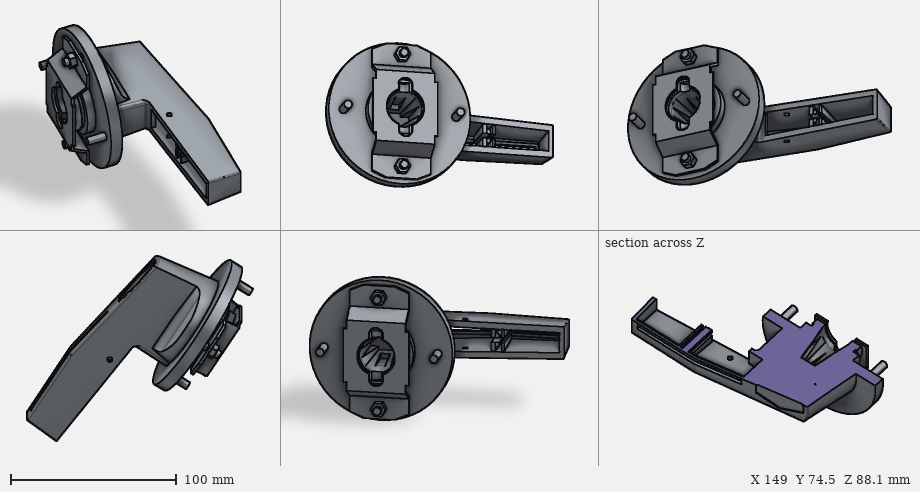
import cadquery as cq
import math


LENGTH = 149.0
DISC_RADIUS = 44.03
DISC_THICKNESS = 7.5
HANDLE_TOP = 59.6
STUD_TIP = -11.9
STRAP_BACK = -14.9
MARGIN = 14.9

HANDLE_END = LENGTH - DISC_RADIUS
HANDLE_END_LOW = 37.4
HANDLE_END_LEAN = 1.2
BEND_X = 54.7
TOP_LEFT_X = -22.4
TOP_LEFT_Y = 46.6
NECK_X = 28.9
UNDERSIDE_Y = 31.0
NECK_FILLET = 2.5
NECK_EDGE_ROUND = 2.4
END_ROUND = 0.9
TOP_ROUND = 0.9

REFERENCE_X = 42.8
REFERENCE_Y = 32.0
HALF_WIDTH = 11.6
TAPER_X = 0.017
TAPER_Y = 0.071

SKIRT_RADIUS = 29.0
SKIRT_SLOPE = 0.15
SKIRT_RIM_Y = 13.3
SKIRT_RIM_ROUND_Z = 26.8
SKIRT_SHOULDER_Z = 18.2
SKIRT_SHOULDER_Y = 15.8
SKIRT_TOP = 20.9

SIDE_WALL = 4.0
END_WALL = 2.4
CEILING = 2.1
LIP_HEIGHT = 0.7
LIP_HALF_WIDTH = 3.5
SLOT_HALF_WIDTH = 1.5
SLOT_START = 22.4
SLOT_END = 99.0
LIP_END = SLOT_END + LIP_HALF_WIDTH - SLOT_HALF_WIDTH
POCKET_START = 32.8
POCKET_FLOOR = 34.3
RIB_SPANS = ((60.6, 63.2), (66.9, 68.5))
RIB_SETBACK = 1.5
CLIP_LENGTH = 2.4
CLIP_HALF_WIDTH = 4.3
CLIP_ROUND = 1.5
PIN_HOLE_X = 44.0
PIN_HOLE_Y = 38.3
PIN_HOLE_DIAMETER = 3.1

MARK_DEPTH = 0.6
MARK_CENTRE_X = -3.9
MARK_HALF_LENGTH = 16.4
MARK_HALF_WIDTH = 8.5
MARK_END_HALF_WIDTH = 3.5

HUB_STEPS = ((21.0, -5.5), (16.8, -7.6), (17.7, STUD_TIP))
SOCKET_RADIUS = 10.9
SOCKET_MOUTH = -8.2
SOCKET_FLOOR = 17.9
SOCKET_WIDTH = 10.1
ARM_LENGTH = 20.3
ARM_WIDTH = 6.0
SHORT_ARM_LENGTH = 18.5
SHORT_ARM_FLOOR = 13.4
GROOVE_RADIUS = 3.1
GROOVE_LENGTH = 31.9

STUD_OFFSET = 35.0
STUD_RADIUS = 2.46
NUT_ACROSS_FLATS = 8.0
NUT_HEIGHT = 4.0

STRAP_THICKNESS = 1.8
FLANGE_BACK = -4.9
FLANGE_END_Z = 41.9
FLANGE_BEND_Z = 28.2
PLATE_BEND_Z = 22.2
STRAP_HALF_WIDTH = 18.2
FLANGE_CORNER_X = 9.7
FLANGE_CORNER_Z = 38.1
EAR_HALF_WIDTH = 20.1
EAR_HALF_HEIGHT = 16.8
WINDOW_RADIUS = 11.6
WINDOW_SLOT_WIDTH = 8.8
WINDOW_SLOT_TIP = 18.3

TOP_SLOPE = (HANDLE_TOP - TOP_LEFT_Y) / (BEND_X - TOP_LEFT_X)
UNDERSIDE_SLOPE = (HANDLE_END_LOW - UNDERSIDE_Y) / (HANDLE_END - NECK_X)


def top_y(x):
    """Height of the handle's top at x."""
    return min(HANDLE_TOP, TOP_LEFT_Y + (x - TOP_LEFT_X) * TOP_SLOPE)


def underside_y(x):
    """Height of the handle's underside at x."""
    return UNDERSIDE_Y + (x - NECK_X) * UNDERSIDE_SLOPE


def half_width(x, y):
    """Half width of the handle at a point of its outline."""
    return HALF_WIDTH - TAPER_X * (x - REFERENCE_X) - TAPER_Y * (y - REFERENCE_Y)


def box(x0, x1, y0, y1, z0, z1):
    """Box between two corners."""
    return cq.Workplane("XY").box(x1 - x0, y1 - y0, z1 - z0, centered=False).translate((x0, y0, z0))


def cylinder(radius, y0, y1, x=0.0, z=0.0):
    """Cylinder along Y from y0 to y1."""
    return cq.Workplane("XZ", origin=(x, y0, z)).circle(radius).extrude(y0 - y1)


def plate_xy(points, half_depth=SKIRT_RADIUS):
    """XY outline extruded to both sides of Z = 0."""
    return cq.Workplane("XY").polyline(points).close().extrude(half_depth, both=True)


def wedge(inset):
    """Tapered solid between the two side faces of the handle, moved inwards by inset."""
    x0, x1 = -DISC_RADIUS, HANDLE_END + MARGIN
    y0, y1 = 0.0, HANDLE_TOP + MARGIN

    def corners(y):
        near = half_width(x0, y) - inset
        far = half_width(x1, y) - inset
        return [(x0, near), (x1, far), (x1, -far), (x0, -near)]

    solid = cq.Workplane("XZ", origin=(0, y0, 0)).polyline(corners(y0)).close()
    solid = solid.workplane(offset=y0 - y1).polyline(corners(y1)).close()
    return solid.loft(ruled=True)


def handle_body():
    """Solid handle: tapered arm and neck with a conical left end and a flared skirt."""
    outline = [
        (-SKIRT_RADIUS, 0),
        (-SKIRT_RADIUS, top_y(-SKIRT_RADIUS)),
        (BEND_X, HANDLE_TOP),
        (HANDLE_END - HANDLE_END_LEAN, HANDLE_TOP),
        (HANDLE_END, HANDLE_END_LOW),
        (NECK_X, UNDERSIDE_Y),
        (NECK_X, 0),
    ]
    slab = plate_xy(outline)
    slab = slab.intersect(wedge(0))
    neck_end = slab.faces(cq.selectors.NearestToPointSelector((NECK_X, UNDERSIDE_Y / 2, 0)))
    slab = neck_end.edges("not(|Z)").fillet(NECK_EDGE_ROUND)
    slab = slab.edges(cq.selectors.NearestToPointSelector((NECK_X, UNDERSIDE_Y, 0))).fillet(NECK_FILLET)
    slab = slab.faces(">X").edges("not(|Z)").fillet(END_ROUND)

    flare_z = half_width(0, SKIRT_TOP)
    skirt = (
        cq.Workplane("YZ", origin=(-SKIRT_RADIUS, 0, 0))
        .moveTo(0, 0)
        .lineTo(0, SKIRT_RADIUS)
        .lineTo(SKIRT_RIM_Y, SKIRT_RADIUS)
        .lineTo(SKIRT_RIM_Y, SKIRT_RIM_ROUND_Z)
        .lineTo(SKIRT_SHOULDER_Y, SKIRT_SHOULDER_Z)
        .tangentArcPoint((SKIRT_TOP, flare_z), relative=False)
        .lineTo(SKIRT_TOP, 0)
        .close()
        .extrude(2 * SKIRT_RADIUS)
    )
    skirt = skirt.union(skirt.mirror("XY"))
    cone_top = SKIRT_RADIUS - SKIRT_SLOPE * (HANDLE_TOP - DISC_THICKNESS)
    cone_foot = SKIRT_RADIUS + SKIRT_SLOPE * DISC_THICKNESS
    cone = (
        cq.Workplane("XY")
        .polyline([(0, 0), (cone_foot, 0), (cone_top, HANDLE_TOP), (0, HANDLE_TOP)])
        .close()
        .revolve(360, (0, 0, 0), (0, 1, 0))
    )
    left = slab.union(skirt).intersect(cone)
    arm = slab.intersect(box(0, LENGTH, 0, HANDLE_TOP, -SKIRT_RADIUS, SKIRT_RADIUS))
    return left.union(arm)


def handle_pocket():
    """Hollow of the arm, open at its underside, with ribs, clips and a lip along the slot."""
    end_x = HANDLE_END - END_WALL
    outline = [
        (SLOT_START, POCKET_FLOOR),
        (SLOT_START, top_y(SLOT_START) - CEILING),
        (BEND_X, HANDLE_TOP - CEILING),
        (end_x - HANDLE_END_LEAN, HANDLE_TOP - CEILING),
        (end_x, HANDLE_END_LOW - MARGIN),
        (POCKET_START, HANDLE_END_LOW - MARGIN),
        (POCKET_START, POCKET_FLOOR),
    ]
    pocket = plate_xy(outline).intersect(wedge(SIDE_WALL))
    lip_drop = CEILING + LIP_HEIGHT
    lip = plate_xy(
        [
            (SLOT_START, top_y(SLOT_START)),
            (BEND_X, HANDLE_TOP),
            (LIP_END, HANDLE_TOP),
            (LIP_END, HANDLE_TOP - lip_drop),
            (BEND_X, HANDLE_TOP - lip_drop),
            (SLOT_START, top_y(SLOT_START) - lip_drop),
        ],
        LIP_HALF_WIDTH,
    )
    pocket = pocket.cut(lip)
    for start, end in RIB_SPANS:
        pocket = pocket.cut(
            box(start, end, underside_y(start) + RIB_SETBACK, HANDLE_TOP, -HALF_WIDTH, HALF_WIDTH)
        )
    clip_start = RIB_SPANS[0][1]
    clip = box(
        clip_start,
        clip_start + CLIP_LENGTH,
        underside_y(clip_start) + RIB_SETBACK,
        HANDLE_TOP,
        -CLIP_HALF_WIDTH,
        CLIP_HALF_WIDTH,
    )
    pocket = pocket.cut(clip.edges("|Y and >X").fillet(CLIP_ROUND))
    slot = box(SLOT_START, SLOT_END, POCKET_FLOOR, HANDLE_TOP + MARGIN, -SLOT_HALF_WIDTH, SLOT_HALF_WIDTH)
    return pocket.union(slot)


def top_mark():
    """Shallow elongated hexagon sunk into the sloping top."""
    ends = MARK_HALF_LENGTH
    points = [
        (-ends, MARK_END_HALF_WIDTH),
        (0, MARK_HALF_WIDTH),
        (ends, MARK_END_HALF_WIDTH),
        (ends, -MARK_END_HALF_WIDTH),
        (0, -MARK_HALF_WIDTH),
        (-ends, -MARK_END_HALF_WIDTH),
    ]
    plane = cq.Plane(
        origin=(MARK_CENTRE_X, top_y(MARK_CENTRE_X), 0),
        xDir=(1, TOP_SLOPE, 0),
        normal=(-TOP_SLOPE, 1, 0),
    )
    return cq.Workplane(plane).polyline(points).close().extrude(MARK_DEPTH, both=True)


def handle():
    """Complete handle above the disc."""
    body = handle_body()
    top_faces = body.faces(cq.selectors.BoxSelector((-29.8, 44.7, -7.5), (104.3, 61.1, 7.5)))
    body = top_faces.edges().edges("not(|Z)").fillet(TOP_ROUND)
    body = body.cut(handle_pocket()).cut(top_mark())
    pin_hole = (
        cq.Workplane("XY", origin=(PIN_HOLE_X, PIN_HOLE_Y, 0))
        .circle(PIN_HOLE_DIAMETER / 2)
        .extrude(SKIRT_RADIUS, both=True)
    )
    body = body.cut(pin_hole)
    return body.intersect(box(-LENGTH, LENGTH, DISC_THICKNESS - 1.5, HANDLE_TOP, -LENGTH, LENGTH))


def hub():
    """Stepped hub behind the disc."""
    solid = cylinder(HUB_STEPS[0][0], 0, HUB_STEPS[0][1])
    for (_, start), (radius, end) in zip(HUB_STEPS, HUB_STEPS[1:]):
        solid = solid.union(cylinder(radius, start, end))
    return solid


def socket():
    """Tapered socket with a cross of arms and a round-bottomed groove across the hub face."""
    taper = (
        cq.Workplane("XZ", origin=(0, SOCKET_MOUTH, 0))
        .circle(SOCKET_RADIUS)
        .workplane(offset=SOCKET_MOUTH - SOCKET_FLOOR)
        .rect(SOCKET_WIDTH, SOCKET_WIDTH)
        .loft()
    )
    long_arm = cq.Workplane("XZ", origin=(0, STUD_TIP, 0)).rect(ARM_LENGTH, ARM_WIDTH)
    short_arm = cq.Workplane("XZ", origin=(0, STUD_TIP, 0)).rect(ARM_WIDTH, SHORT_ARM_LENGTH)
    groove = (
        cq.Workplane("XY", origin=(0, STUD_TIP, 0))
        .circle(GROOVE_RADIUS)
        .extrude(GROOVE_LENGTH / 2, both=True)
    )
    solid = taper.union(cylinder(SOCKET_RADIUS, SOCKET_MOUTH, STUD_TIP))
    solid = solid.union(long_arm.extrude(STUD_TIP - SOCKET_FLOOR))
    return solid.union(short_arm.extrude(STUD_TIP - SHORT_ARM_FLOOR)).union(groove)


def strap():
    """Bent strap with two cornered flanges, two ears and a keyhole-shaped window."""
    rise = FLANGE_BACK - STRAP_BACK
    run = FLANGE_BEND_Z - PLATE_BEND_Z
    bend_shift = STRAP_THICKNESS * math.tan(math.atan2(rise, run) / 2)
    plate_front = STRAP_BACK + STRAP_THICKNESS
    flange_front = FLANGE_BACK + STRAP_THICKNESS
    upper_half = (
        cq.Workplane("YZ")
        .polyline(
            [
                (STRAP_BACK, 0),
                (STRAP_BACK, PLATE_BEND_Z),
                (FLANGE_BACK, FLANGE_BEND_Z),
                (FLANGE_BACK, FLANGE_END_Z),
                (flange_front, FLANGE_END_Z),
                (flange_front, FLANGE_BEND_Z - bend_shift),
                (plate_front, PLATE_BEND_Z - bend_shift),
                (plate_front, 0),
            ]
        )
        .close()
        .extrude(EAR_HALF_WIDTH, both=True)
    )
    corner = [
        (0, 0),
        (EAR_HALF_WIDTH, 0),
        (EAR_HALF_WIDTH, EAR_HALF_HEIGHT),
        (STRAP_HALF_WIDTH, EAR_HALF_HEIGHT),
        (STRAP_HALF_WIDTH, FLANGE_CORNER_Z),
        (FLANGE_CORNER_X, FLANGE_END_Z),
        (0, FLANGE_END_Z),
    ]
    quarter = cq.Workplane("XZ").polyline(corner).close().extrude(-STRAP_BACK)
    half_blank = quarter.union(quarter.mirror("YZ"))
    upper_half = upper_half.intersect(half_blank)
    solid = upper_half.union(upper_half.mirror("XY"))
    window_slot = (
        cq.Workplane("XZ")
        .slot2D(2 * WINDOW_SLOT_TIP, WINDOW_SLOT_WIDTH, 90)
        .extrude(-STRAP_BACK)
    )
    return solid.cut(cylinder(WINDOW_RADIUS, 0, STRAP_BACK)).cut(window_slot)


def studs():
    """Four studs on the disc and the two nuts that hold the strap."""
    corner_diameter = NUT_ACROSS_FLATS / math.cos(math.pi / 6)
    solid = cq.Workplane("XY")
    for side in (-STUD_OFFSET, STUD_OFFSET):
        nut = (
            cq.Workplane("XZ", origin=(0, FLANGE_BACK, side))
            .polygon(6, corner_diameter)
            .extrude(NUT_HEIGHT)
        )
        solid = solid.add(cylinder(STUD_RADIUS, 0, STUD_TIP, x=side))
        solid = solid.add(cylinder(STUD_RADIUS, 0, STUD_TIP, z=side).union(nut))
    return solid.combine()


disc = cylinder(DISC_RADIUS, DISC_THICKNESS, 0)
result = disc.union(hub()).union(handle()).cut(socket()).union(studs()).union(strap())